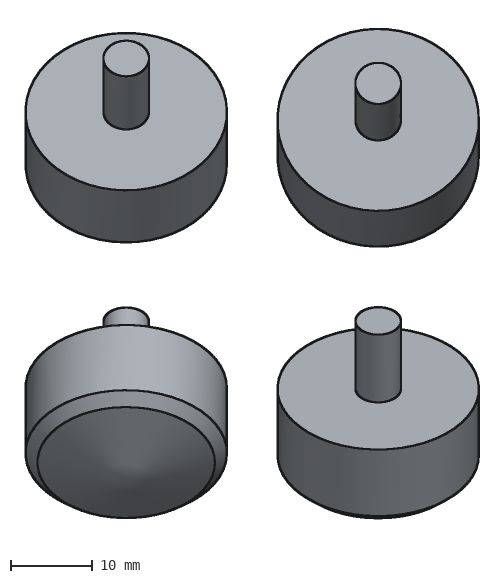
import cadquery as cq

total_height = 25.4
body_diameter = 24.7
stem_diameter = 5.6
stem_length = 10.41
tip_height = 3.28
chamfer_size = 1.47

body_radius = body_diameter / 2
stem_radius = stem_diameter / 2
tip_base_radius = body_radius - chamfer_size
chamfer_top = tip_height + chamfer_size
body_top = total_height - stem_length

half_profile = (
    cq.Workplane("XZ")
    .moveTo(0, 0)
    .lineTo(tip_base_radius, tip_height)
    .lineTo(body_radius, chamfer_top)
    .lineTo(body_radius, body_top)
    .lineTo(stem_radius, body_top)
    .lineTo(stem_radius, total_height)
    .lineTo(0, total_height)
    .close()
)

result = half_profile.revolve(360, (0, 0, 0), (0, 1, 0))